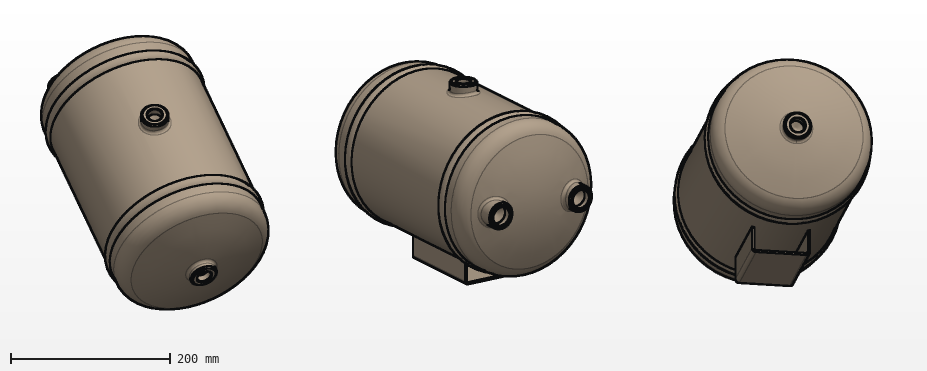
import cadquery as cq
import math

TANK_LENGTH = 356.0
SHELL_RADIUS = 206.0 / 2
BEAD_RADIUS = 211.8 / 2
HEAD_SEAM_X = 128.0
BEAD_INNER_X = 99.0
BEAD_OUTER_X = 114.0

CROWN_RADIUS = 231.5
KNUCKLE_RADIUS = 24.2

NOZZLE_RADIUS = 35.0 / 2
NOZZLE_CHAMFER = 2.0
WELD_RADIUS = 4.0
TOP_NOZZLE_Z = 117.0
LEFT_NOZZLE_Y = 59.8
LARGE_BORE_RADIUS = 24.2 / 2
SMALL_BORE_RADIUS = 18.5 / 2
BORE_DEPTH = 10.7
BORE_CHAMFER = 0.9
DRILL_POINT_ANGLE = 118.0

BRACKET_LENGTH = 119.0
BRACKET_WIDTH = 74.0
BRACKET_BOTTOM_Z = -130.0
BRACKET_THICKNESS = 3.0
BRACKET_BEND_RADIUS = 5.0


def tank_shell():
    """Revolve the closed half profile of the shell, beads and heads."""
    knuckle_center_r = SHELL_RADIUS - KNUCKLE_RADIUS
    crown_angle = math.asin(knuckle_center_r / (CROWN_RADIUS - KNUCKLE_RADIUS))
    crown_center_x = HEAD_SEAM_X - (CROWN_RADIUS - KNUCKLE_RADIUS) * math.cos(crown_angle)

    def on_knuckle(angle):
        return (
            HEAD_SEAM_X + KNUCKLE_RADIUS * math.cos(angle),
            knuckle_center_r + KNUCKLE_RADIUS * math.sin(angle),
        )

    def on_crown(angle):
        return (
            crown_center_x + CROWN_RADIUS * math.cos(angle),
            CROWN_RADIUS * math.sin(angle),
        )

    def mirrored(point):
        return (-point[0], point[1])

    apex = on_crown(0)
    crown_middle = on_crown(crown_angle / 2)
    crown_edge = on_knuckle(crown_angle)
    knuckle_middle = on_knuckle((crown_angle + math.pi / 2) / 2)
    seam = (HEAD_SEAM_X, SHELL_RADIUS)
    bead_outer = (BEAD_OUTER_X, SHELL_RADIUS)
    bead_crest = ((BEAD_INNER_X + BEAD_OUTER_X) / 2, BEAD_RADIUS)
    bead_inner = (BEAD_INNER_X, SHELL_RADIUS)

    return (
        cq.Workplane("XY")
        .moveTo(*apex)
        .threePointArc(crown_middle, crown_edge)
        .threePointArc(knuckle_middle, seam)
        .lineTo(*bead_outer)
        .threePointArc(bead_crest, bead_inner)
        .lineTo(*mirrored(bead_inner))
        .threePointArc(mirrored(bead_crest), mirrored(bead_outer))
        .lineTo(*mirrored(seam))
        .threePointArc(mirrored(knuckle_middle), mirrored(crown_edge))
        .threePointArc(mirrored(crown_middle), mirrored(apex))
        .close()
        .revolve(360, (0, 0, 0), (1, 0, 0))
        .rotate((0, 0, 0), (1, 0, 0), -90)
    )


def add_nozzle(body, face_plane, bore_radius):
    """Add a chamfered, welded nozzle with a drilled blind bore.

    face_plane lies on the nozzle's end face, with its normal pointing outwards.
    """
    root_depth = 35.5
    same_place = 0.005
    nozzle = (
        cq.Workplane(face_plane)
        .circle(NOZZLE_RADIUS)
        .extrude(-root_depth)
        .faces(cq.selectors.DirectionMinMaxSelector(face_plane.zDir, True))
        .chamfer(NOZZLE_CHAMFER)
    )
    old_edges = body.edges().vals() + nozzle.edges().vals()
    old_centers = [edge.Center() for edge in old_edges]
    joined = body.union(nozzle)
    weld_edges = [
        edge for edge in joined.edges().vals()
        if all((edge.Center() - center).Length > same_place for center in old_centers)
    ]
    welded = joined.newObject(weld_edges).fillet(WELD_RADIUS)

    point_depth = bore_radius / math.tan(math.radians(DRILL_POINT_ANGLE / 2))
    bore = (
        cq.Workplane("XZ")
        .polyline([
            (0, 0),
            (bore_radius + BORE_CHAMFER, 0),
            (bore_radius, -BORE_CHAMFER),
            (bore_radius, -BORE_DEPTH),
            (0, -BORE_DEPTH - point_depth),
        ])
        .close()
        .revolve(360, (0, 0, 0), (0, 1, 0))
    )
    return welded.cut(bore.val().moved(cq.Location(face_plane)))


def make_tank():
    body = tank_shell()
    end_x = TANK_LENGTH / 2
    top_face = cq.Plane(origin=(0, 0, TOP_NOZZLE_Z), xDir=(1, 0, 0), normal=(0, 0, 1))
    body = add_nozzle(body, top_face, SMALL_BORE_RADIUS)
    right_face = cq.Plane(origin=(end_x, 0, 0), xDir=(0, 1, 0), normal=(1, 0, 0))
    body = add_nozzle(body, right_face, SMALL_BORE_RADIUS)
    for y in (-LEFT_NOZZLE_Y, LEFT_NOZZLE_Y):
        left_face = cq.Plane(origin=(-end_x, y, 0), xDir=(0, 1, 0), normal=(-1, 0, 0))
        body = add_nozzle(body, left_face, LARGE_BORE_RADIUS)
    return body


def make_bracket():
    """Bend a U channel along X and trim its legs to the round shell."""
    def channel_block(width, bottom_z, bend_radius):
        return (
            cq.Workplane("XY", origin=(0, 0, bottom_z))
            .rect(BRACKET_LENGTH, width)
            .extrude(-bottom_z)
            .edges("|X and <Z")
            .fillet(bend_radius)
        )

    outside = channel_block(BRACKET_WIDTH, BRACKET_BOTTOM_Z, BRACKET_BEND_RADIUS)
    inside = channel_block(
        BRACKET_WIDTH - 2 * BRACKET_THICKNESS,
        BRACKET_BOTTOM_Z + BRACKET_THICKNESS,
        BRACKET_BEND_RADIUS - BRACKET_THICKNESS,
    )
    shell_space = (
        cq.Workplane("YZ")
        .circle(SHELL_RADIUS)
        .extrude(BRACKET_LENGTH, both=True)
    )
    return outside.cut(inside).cut(shell_space)


tank = make_tank()
bracket = make_bracket()

result = cq.Compound.makeCompound([tank.solids().val(), bracket.solids().val()])